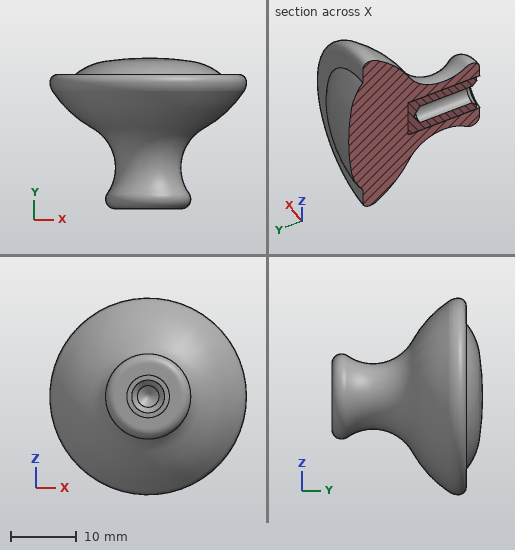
import cadquery as cq
import math


knob_height = 23.0
rim_radius = 15.0
rim_top = 20.5
rim_top_round = 1.2
rim_lower_round = 2.5
flare_round = 17.5
neck_radius = 5.0
neck_round = 6.9
foot_radius = 6.5
foot_round = 1.5

crown_base_radius = 11.1
crown_cap_radius = 6.65
crown_cap_height = 0.5
crown_shoulder_round = 9.0

insert_radius = 3.25
insert_recess = 0.5
insert_length = 12.0
bore_radius = 1.65
bore_mouth_radius = 2.5
bore_depth = 10.0
drill_tip_angle = 118.0


def point_towards(start, target, distance):
    """Point at a distance from start, on the line towards target."""
    scale = distance / math.dist(start, target)
    return tuple(s + (t - s) * scale for s, t in zip(start, target))


def circles_meet(center_a, radius_a, center_b, radius_b):
    """Crossing of two circles that lies left of the direction from a to b."""
    gap = math.dist(center_a, center_b)
    along = (radius_a**2 - radius_b**2 + gap**2) / (2 * gap)
    across = math.sqrt(radius_a**2 - along**2)
    dx = (center_b[0] - center_a[0]) / gap
    dy = (center_b[1] - center_a[1]) / gap
    return (center_a[0] + along * dx - across * dy, center_a[1] + along * dy + across * dx)


def arc_middle(center, radius, start, end):
    """Middle of the shorter arc between two points of a circle."""
    chord_middle = tuple((s + e) / 2 for s, e in zip(start, end))
    return point_towards(center, chord_middle, radius)


def revolve_about_y(profile):
    return profile.close().revolve(360, (0, 0, 0), (0, 1, 0))


def make_knob():
    foot_center = (foot_radius - foot_round, foot_round)
    neck_rise = math.sqrt((neck_round + foot_round)**2 - (neck_radius + neck_round - foot_center[0])**2)
    neck_center = (neck_radius + neck_round, foot_round + neck_rise)
    rim_crest = (rim_radius, rim_top - rim_top_round)
    rim_top_center = (rim_radius - rim_top_round, rim_crest[1])
    rim_lower_center = (rim_radius - rim_lower_round, rim_crest[1])
    flare_center = circles_meet(
        neck_center, flare_round + neck_round,
        rim_lower_center, flare_round - rim_lower_round,
    )
    cap_round = (crown_cap_radius**2 + crown_cap_height**2) / (2 * crown_cap_height)
    cap_center = (0, knob_height - cap_round)

    foot_edge = (foot_center[0], 0)
    foot_neck = point_towards(foot_center, neck_center, foot_round)
    neck_flare = point_towards(neck_center, flare_center, neck_round)
    flare_rim = point_towards(flare_center, rim_lower_center, flare_round)
    rim_top_edge = (rim_top_center[0], rim_top)
    crown_base = (crown_base_radius, rim_top)
    cap_edge = (crown_cap_radius, knob_height - crown_cap_height)
    apex = (0, knob_height)

    outline = (
        cq.Workplane("XY")
        .lineTo(*foot_edge)
        .threePointArc((foot_radius, foot_round), foot_neck)
        .threePointArc((neck_radius, neck_center[1]), neck_flare)
        .threePointArc(arc_middle(flare_center, flare_round, neck_flare, flare_rim), flare_rim)
        .threePointArc(arc_middle(rim_lower_center, rim_lower_round, flare_rim, rim_crest), rim_crest)
        .threePointArc(arc_middle(rim_top_center, rim_top_round, rim_crest, rim_top_edge), rim_top_edge)
        .lineTo(*crown_base)
        .radiusArc(cap_edge, -crown_shoulder_round)
        .threePointArc(arc_middle(cap_center, cap_round, cap_edge, apex), apex)
    )
    socket = (
        cq.Workplane("XY")
        .lineTo(insert_radius, 0)
        .lineTo(insert_radius, insert_recess + insert_length)
        .lineTo(0, insert_recess + insert_length)
    )
    return revolve_about_y(outline).cut(revolve_about_y(socket))


def make_insert():
    countersink_depth = bore_mouth_radius - bore_radius
    tip_depth = bore_radius / math.tan(math.radians(drill_tip_angle / 2))
    insert_end = insert_recess + insert_length

    profile = (
        cq.Workplane("XY")
        .moveTo(bore_mouth_radius, insert_recess)
        .lineTo(insert_radius, insert_recess)
        .lineTo(insert_radius, insert_end)
        .lineTo(0, insert_end)
        .lineTo(0, insert_recess + bore_depth + tip_depth)
        .lineTo(bore_radius, insert_recess + bore_depth)
        .lineTo(bore_radius, insert_recess + countersink_depth)
    )
    return revolve_about_y(profile)


knob = make_knob()
insert = make_insert()

result = cq.Compound.makeCompound([knob.val(), insert.val()])